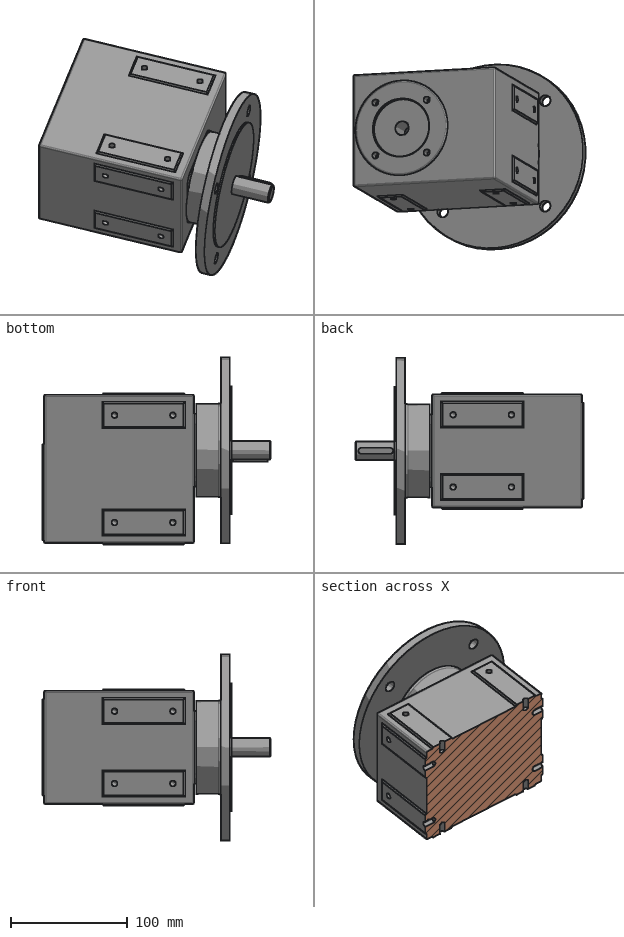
import cadquery as cq
import math

COVER_FACE = 0.0
BODY_START = 1.5
BODY_END = 130.1
HUB_START = 132.0
COLLAR_START = 151.0
FLANGE_START = 153.0
FLANGE_END = 161.0
PILOT_END = 162.5
SHAFT_END = 196.0

PAD_RAISE = 1.4
PADS_HEIGHT = 100.0
PADS_Y_MIN = -49.0
PADS_Y_MAX = 81.0
BODY_FILLET = 1.4
BODY_HEIGHT = PADS_HEIGHT - 2 * PAD_RAISE
BODY_WIDTH = PADS_Y_MAX - PADS_Y_MIN - 2 * PAD_RAISE
BODY_Y = (PADS_Y_MIN + PADS_Y_MAX) / 2

PAD_START = 51.5
PAD_LENGTH = 71.0
PAD_WIDTH = 22.7
PAD_HOLE_DIAMETER = 4.9
PAD_HOLE_PITCH = 50.0
PAD_HOLE_DEPTH = 10.0
DRILL_TIP_ANGLE = 118.0
SIDE_PAD_PITCH = 62.0
TOP_PAD_PITCH = 92.0
PAD_MID_X = PAD_START + PAD_LENGTH / 2

INPUT_Y = 36.0
COVER_DIAMETER = 82.7
COVER_FILLET = 1.4
RECESS_DIAMETER = 50.0
RECESS_DEPTH = 3.0
RECESS_CHAMFER = 0.4
INPUT_BORE_DIAMETER = 12.0
INPUT_BORE_DEPTH = 30.0
COVER_HOLE_DIAMETER = 5.5
COVER_HOLE_DEPTH = 10.0
COVER_HOLE_CIRCLE = 65.0

NECK_WIDTH = 62.5
NECK_CORNER_RADIUS = 8.6
HUB_DIAMETER = 80.0
COLLAR_DIAMETER = 81.1
FLANGE_DIAMETER = 160.0
FLANGE_HOLE_DIAMETER = 9.5
FLANGE_HOLE_CIRCLE = 130.0
PILOT_DIAMETER = 110.0
SHAFT_DIAMETER = 16.0
SHAFT_CHAMFER = 1.0

KEY_START = 163.5
KEY_END = 193.3
KEY_WIDTH = 5.0
KEY_TOP = 9.8


def x_plane(x, y=0.0):
    """Plane across the X axis, with local X along +Y and local Y along +Z."""
    return cq.Workplane("YZ", origin=(x, y, 0))


def disc(x_start, x_end, diameter, y=0.0):
    return x_plane(x_start, y).circle(diameter / 2).extrude(x_end - x_start)


def cone(x_start, x_end, diameter_start, diameter_end, y=0.0):
    return (
        x_plane(x_start, y)
        .circle(diameter_start / 2)
        .workplane(offset=x_end - x_start)
        .circle(diameter_end / 2)
        .loft(ruled=True)
    )


def hole_square(x_start, depth, diameter, circle_diameter, y=0.0):
    """Four holes along +X on a circle, at 45 degrees to the Y and Z axes."""
    spacing = circle_diameter / math.sqrt(2)
    return (
        x_plane(x_start, y)
        .rect(spacing, spacing, forConstruction=True)
        .vertices()
        .circle(diameter / 2)
        .extrude(depth)
    )


def make_body():
    return (
        cq.Workplane("XY")
        .box(BODY_END - BODY_START, BODY_WIDTH, BODY_HEIGHT)
        .translate(((BODY_START + BODY_END) / 2, BODY_Y, 0))
        .edges()
        .fillet(BODY_FILLET)
    )


def make_cover():
    """Round input cover with a rounded rim, standing on the -X face of the body."""
    return disc(COVER_FACE, BODY_START, COVER_DIAMETER, INPUT_Y).faces("<X").edges().fillet(COVER_FILLET)


def make_pad():
    """Bevelled pad whose outer face lies at Z = 0, centred on Y = 0."""
    return (
        cq.Workplane("XY", origin=(PAD_MID_X, 0, -2 * PAD_RAISE))
        .rect(PAD_LENGTH, PAD_WIDTH)
        .extrude(2 * PAD_RAISE)
        .faces(">Z")
        .chamfer(PAD_RAISE)
    )


def make_pad_holes():
    """Two blind drilled holes entering the pad from Z = 0."""
    radius = PAD_HOLE_DIAMETER / 2
    tip = radius / math.tan(math.radians(DRILL_TIP_ANGLE / 2))
    drill = (
        cq.Workplane("XZ")
        .polyline([(0, 0), (radius, 0), (radius, -PAD_HOLE_DEPTH), (0, -PAD_HOLE_DEPTH - tip)])
        .close()
        .revolve(360, (0, 0, 0), (0, 1, 0))
    )
    first = drill.translate((PAD_MID_X - PAD_HOLE_PITCH / 2, 0, 0))
    return first.union(drill.translate((PAD_MID_X + PAD_HOLE_PITCH / 2, 0, 0)))


def place_on_sides(shape):
    """Copies of a pad feature at its eight places around the housing."""
    copies = []
    for turn in range(4):
        on_y_side = turn % 2 == 1
        pitch = SIDE_PAD_PITCH if on_y_side else TOP_PAD_PITCH
        reach = (PADS_Y_MAX - PADS_Y_MIN if on_y_side else PADS_HEIGHT) / 2
        for offset in (-pitch / 2, pitch / 2):
            copies.append(
                shape.translate((0, offset, reach))
                .rotate((0, 0, 0), (1, 0, 0), 90 * turn)
                .translate((0, BODY_Y, 0))
            )
    return copies


def make_output():
    """Neck, hub, flange, pilot and shaft on the output axis."""
    neck = (
        x_plane(BODY_END)
        .rect(NECK_WIDTH, NECK_WIDTH)
        .extrude(HUB_START - BODY_END)
        .edges("|X")
        .fillet(NECK_CORNER_RADIUS)
    )
    flange = disc(FLANGE_START, FLANGE_END, FLANGE_DIAMETER).cut(
        hole_square(FLANGE_START, FLANGE_END - FLANGE_START, FLANGE_HOLE_DIAMETER, FLANGE_HOLE_CIRCLE)
    )
    shaft = disc(PILOT_END, SHAFT_END, SHAFT_DIAMETER).faces(">X").chamfer(SHAFT_CHAMFER)
    return (
        neck.union(disc(HUB_START, FLANGE_START, HUB_DIAMETER))
        .union(cone(COLLAR_START, FLANGE_START, HUB_DIAMETER, COLLAR_DIAMETER))
        .union(flange)
        .union(disc(FLANGE_END, PILOT_END, PILOT_DIAMETER))
        .union(shaft)
    )


def make_key():
    """Round-ended key standing out of the shaft on its +Y side."""
    length = KEY_END - KEY_START
    return (
        cq.Workplane("XZ", origin=((KEY_START + KEY_END) / 2, 0, 0))
        .slot2D(length, KEY_WIDTH)
        .extrude(-KEY_TOP)
    )


def cut_input(part):
    """Recess, shaft bore and fixing holes of the input cover."""
    part = part.cut(disc(COVER_FACE, RECESS_DEPTH, RECESS_DIAMETER, INPUT_Y))
    rim = RECESS_DIAMETER + 2 * RECESS_CHAMFER
    part = part.cut(cone(COVER_FACE, COVER_FACE + RECESS_CHAMFER, rim, RECESS_DIAMETER, INPUT_Y))
    part = part.cut(disc(COVER_FACE, INPUT_BORE_DEPTH, INPUT_BORE_DIAMETER, INPUT_Y))
    return part.cut(
        hole_square(COVER_FACE, COVER_HOLE_DEPTH, COVER_HOLE_DIAMETER, COVER_HOLE_CIRCLE, INPUT_Y)
    )


part = make_body()
for pad in place_on_sides(make_pad()):
    part = part.union(pad)
part = part.union(make_cover())
part = part.union(make_output()).union(make_key())
for holes in place_on_sides(make_pad_holes()):
    part = part.cut(holes)
result = cut_input(part)